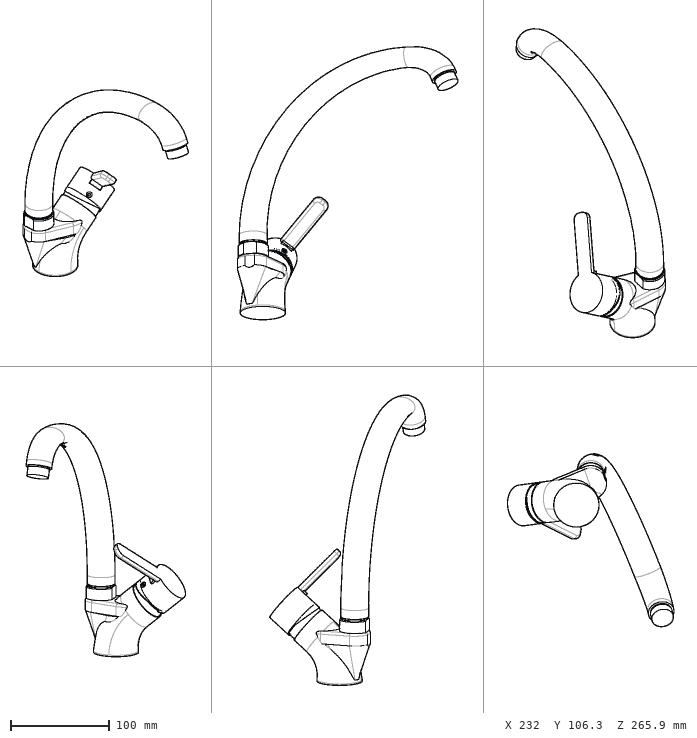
import cadquery as cq
import math

BASE_RADIUS = 23.0
BASE_HEIGHT = 1.5
VALVE_RADIUS = 21.0
ELBOW_BEND_RADIUS = 56.5
VALVE_TILT = 50.0
SLEEVE_LENGTH = 17.3
ELBOW_SECTIONS = 6

SPOUT_X = -5.5
SPOUT_Y = -17.8
NOSE_RADIUS = 16.2
NOSE_FLAT_REACH = 15.5
NOSE_TOP_Z = 54.5
NOSE_RIM_FILLET = 2.7
NOSE_WALL_Z = 41.7
NOSE_REAR_RADIUS = 20.7
NOSE_REAR_Y = 13.3
NOSE_TAPER_REAR_Y = 5.3
NOSE_TIP_Z = 4.3
NOSE_TIP_RADIUS = 8.5
NOSE_TIP_Y = -13.8
NOSE_TIP_REAR_RADIUS = 22.3
NOSE_TIP_REAR_Y = 0.0

CAP_TOP = 51.3
CAP_MOUTH = 20.5
CAP_MOUTH_RISE = 5.0
CAP_TAB_RISE = 3.7
CAP_RISE_END = -2.7
CAP_TAB_START = -16.0
CUT_MARGIN = 2.7
LEVER_TURN = 45.0
LEVER_LENGTH = 83.5
LEVER_WIDTH = 17.0
LEVER_THICKNESS = 6.6
LEVER_CORNER_RADIUS = 6.6
LEVER_EDGE_FILLET = 3.0
BOSS_REACH = 1.3
BOSS_WIDTH = 13.3
BOSS_DEPTH = 11.2

CARTRIDGE_RADIUS = 20.0
CARTRIDGE_TOP = 26.5

SCREW_RADIUS = 3.0
SCREW_HEIGHT = 30.3
SCREW_SEAT = 13.3
SCREW_HEAD = 20.2
SOCKET_SIZE = 3.0
SOCKET_DEPTH = 2.0

COLLAR_RADIUS = 15.5
COLLAR_FLAT_REACH = 13.8
COLLAR_HEIGHT = 12.8
COLLAR_CHAMFER = 1.0
SEAL_HEIGHT = 1.5
SEAL_RADIUS = 13.5

SPOUT_RADIUS = 14.4
SPOUT_RISE_START_Z = 78.2
SPOUT_CREST_X = 155.8
SPOUT_TOP_Z = 265.8
CREST_HALF_HEIGHT = 10.0
CREST_HALF_WIDTH = 14.4
DROP_RUN = 38.5
DROP_FALL = 26.0
DROP_SWEEP = 73.5
SPOUT_END_RADIUS = 13.3
SPOUT_END_LENGTH = 5.3
RISE_SECTIONS = 9
DROP_SECTIONS = 5

OUTLET_SEAL_RADIUS = 11.2
OUTLET_SEAL_LENGTH = 1.3
AERATOR_RADIUS = 11.2
AERATOR_LENGTH = 8.5

tilt = math.radians(VALVE_TILT)
VALVE_AXIS = cq.Vector(0, math.sin(tilt), math.cos(tilt))
VALVE_ACROSS = cq.Vector(0, -math.cos(tilt), math.sin(tilt))
turn = math.radians(LEVER_TURN)
LEVER_AXIS = cq.Vector(math.cos(turn), 0, 0) + VALVE_ACROSS * math.sin(turn)
COLLAR_TOP_Z = NOSE_TOP_Z + COLLAR_HEIGHT
SPOUT_BASE_Z = COLLAR_TOP_Z + SEAL_HEIGHT


def elbow_point(angle):
    """Point on the elbow centreline after bending by angle (radians)."""
    return cq.Vector(
        0,
        ELBOW_BEND_RADIUS * (1 - math.cos(angle)),
        BASE_HEIGHT + ELBOW_BEND_RADIUS * math.sin(angle),
    )


ELBOW_END = elbow_point(tilt)


def valve_plane(height):
    """Plane square to the valve axis, with local x along the lever."""
    return cq.Plane(ELBOW_END + VALVE_AXIS * height, LEVER_AXIS, VALVE_AXIS)


def elbow():
    """Bend whose radius shrinks quickly at first, then eases into the sleeve."""
    sections = []
    for i in range(ELBOW_SECTIONS):
        fraction = i / (ELBOW_SECTIONS - 1)
        angle = tilt * fraction
        radius = VALVE_RADIUS + (BASE_RADIUS - VALVE_RADIUS) * (1 - fraction) ** 2
        direction = cq.Vector(0, math.sin(angle), math.cos(angle))
        sections.append(cq.Wire.makeCircle(radius, elbow_point(angle), direction))
    bend = cq.Workplane(cq.Solid.makeLoft(sections))
    base = cq.Workplane().circle(BASE_RADIUS).extrude(BASE_HEIGHT)
    sleeve = cq.Workplane(valve_plane(0)).circle(VALVE_RADIUS).extrude(SLEEVE_LENGTH)
    return base.union(bend).union(sleeve)


def nose_outline(z, front_radius, front_y, rear_radius, rear_y):
    """Two arcs, around a front and a rear centre, joined by their outer tangents."""
    rear = cq.Vector(0, rear_y)
    front = cq.Vector(SPOUT_X, front_y)
    forward = front - rear
    heading = math.atan2(forward.y, forward.x)
    spread = math.acos((rear_radius - front_radius) / forward.Length)

    def on_circle(centre, radius, angle):
        return (centre.x + radius * math.cos(angle), centre.y + radius * math.sin(angle))

    return (
        cq.Workplane(origin=(0, 0, z))
        .moveTo(*on_circle(front, front_radius, heading - spread))
        .threePointArc(
            on_circle(front, front_radius, heading),
            on_circle(front, front_radius, heading + spread),
        )
        .lineTo(*on_circle(rear, rear_radius, heading + spread))
        .threePointArc(
            on_circle(rear, rear_radius, heading + math.pi),
            on_circle(rear, rear_radius, heading - spread),
        )
        .close()
    )


def nose():
    """Upright wall under the spout, above a taper that runs down into the elbow."""
    wall_sizes = (NOSE_RADIUS, SPOUT_Y, NOSE_REAR_RADIUS, NOSE_REAR_Y)
    taper_sizes = (NOSE_RADIUS, SPOUT_Y, NOSE_REAR_RADIUS, NOSE_TAPER_REAR_Y)
    tip_sizes = (NOSE_TIP_RADIUS, NOSE_TIP_Y, NOSE_TIP_REAR_RADIUS, NOSE_TIP_REAR_Y)
    front_limit = SPOUT_Y - NOSE_FLAT_REACH
    flat_cut = (
        cq.Workplane(origin=(SPOUT_X, front_limit - NOSE_RADIUS / 2, 0))
        .rect(2 * NOSE_RADIUS, NOSE_RADIUS)
        .extrude(NOSE_TOP_Z)
    )
    wall = (
        nose_outline(NOSE_WALL_Z, *wall_sizes)
        .extrude(NOSE_TOP_Z - NOSE_WALL_Z)
        .cut(flat_cut)
        .faces(">Z")
        .edges()
        .fillet(NOSE_RIM_FILLET)
    )
    taper = cq.Workplane(
        cq.Solid.makeLoft(
            [
                nose_outline(NOSE_TIP_Z, *tip_sizes).wire().val(),
                nose_outline(NOSE_WALL_Z, *taper_sizes).wire().val(),
            ],
            True,
        )
    )
    return wall.union(taper.cut(flat_cut))


def make_body():
    return elbow().union(nose())


def rim_cut():
    """Everything below the shaped rim of the cap, as a prism along X."""
    profile_plane = cq.Plane(ELBOW_END, VALVE_ACROSS, VALVE_ACROSS.cross(VALVE_AXIS))
    outside = VALVE_RADIUS + CUT_MARGIN
    return (
        cq.Workplane(profile_plane)
        .moveTo(outside, 0)
        .lineTo(outside, CAP_MOUTH)
        .lineTo(VALVE_RADIUS, CAP_MOUTH)
        .lineTo(CAP_RISE_END, CAP_MOUTH + CAP_MOUTH_RISE)
        .lineTo(CAP_TAB_START, CAP_MOUTH + CAP_MOUTH_RISE)
        .lineTo(CAP_TAB_START, CAP_MOUTH + CAP_TAB_RISE)
        .lineTo(-outside, CAP_MOUTH + CAP_TAB_RISE)
        .lineTo(-outside, 0)
        .close()
        .extrude(outside, both=True)
    )


def lever():
    underside = valve_plane(CAP_TOP - LEVER_THICKNESS)
    bar = (
        cq.Workplane(underside)
        .rect(2 * LEVER_LENGTH, LEVER_WIDTH)
        .extrude(LEVER_THICKNESS)
        .edges(cq.selectors.ParallelDirSelector(VALVE_AXIS))
        .fillet(LEVER_CORNER_RADIUS)
        .faces(cq.selectors.DirectionMinMaxSelector(VALVE_AXIS, False))
        .edges()
        .fillet(LEVER_EDGE_FILLET)
    )
    root_half = cq.Workplane(underside).center(LEVER_LENGTH / 2, 0)
    return bar.intersect(root_half.rect(LEVER_LENGTH, LEVER_WIDTH).extrude(LEVER_THICKNESS))


def lever_boss():
    reach = VALVE_RADIUS + BOSS_REACH
    return (
        cq.Workplane(valve_plane(CAP_TOP - BOSS_DEPTH))
        .center(reach / 2, 0)
        .rect(reach, BOSS_WIDTH)
        .extrude(BOSS_DEPTH)
    )


def make_cartridge():
    height = CARTRIDGE_TOP - SLEEVE_LENGTH
    return cq.Workplane(valve_plane(SLEEVE_LENGTH)).circle(CARTRIDGE_RADIUS).extrude(height)


def make_cap(cartridge, screw_hole):
    barrel = cq.Workplane(valve_plane(SLEEVE_LENGTH)).circle(VALVE_RADIUS).extrude(CAP_TOP - SLEEVE_LENGTH)
    return barrel.cut(rim_cut()).union(lever()).union(lever_boss()).cut(cartridge).cut(screw_hole)


def screw_plane(distance):
    """Plane square to the lever direction, at a distance from the valve axis."""
    centre = ELBOW_END + VALVE_AXIS * SCREW_HEIGHT + LEVER_AXIS * distance
    return cq.Plane(centre, VALVE_AXIS, LEVER_AXIS)


def make_screw_hole():
    return cq.Workplane(screw_plane(SCREW_SEAT)).circle(SCREW_RADIUS).extrude(VALVE_RADIUS - SCREW_SEAT)


def make_set_screw():
    shank = cq.Workplane(screw_plane(SCREW_SEAT)).circle(SCREW_RADIUS).extrude(SCREW_HEAD - SCREW_SEAT)
    socket = cq.Workplane(screw_plane(SCREW_HEAD)).polygon(6, SOCKET_SIZE).extrude(-SOCKET_DEPTH)
    return shank.cut(socket)


def spout_disc(z, radius, height):
    return cq.Workplane(origin=(SPOUT_X, SPOUT_Y, z)).circle(radius).extrude(height)


def make_collar():
    """Ring with two wrench flats, facing -Y and +Y."""
    flats = (
        cq.Workplane(origin=(SPOUT_X, SPOUT_Y, NOSE_TOP_Z))
        .rect(2 * COLLAR_RADIUS, 2 * COLLAR_FLAT_REACH)
        .extrude(COLLAR_HEIGHT)
    )
    ring = spout_disc(NOSE_TOP_Z, COLLAR_RADIUS, COLLAR_HEIGHT)
    return ring.faces(">Z").chamfer(COLLAR_CHAMFER).intersect(flats)


def make_spout_seal():
    return spout_disc(COLLAR_TOP_Z, SEAL_RADIUS, SEAL_HEIGHT)


CREST_Z = SPOUT_TOP_Z - CREST_HALF_HEIGHT
DROP_ANGLE = math.radians(DROP_SWEEP)


def spout_section(x, z, direction_x, direction_z, half_width, half_height):
    """Ellipse square to the spout, half_width along Y."""
    return cq.Wire.makeEllipse(
        half_width,
        half_height,
        cq.Vector(x, SPOUT_Y, z),
        cq.Vector(direction_x, 0, direction_z),
        cq.Vector(0, 1, 0),
    )


def blend(start, end, fraction):
    return start + (end - start) * fraction


def spout_rise():
    """Quarter ellipse from the upright foot to the level crest, flattening on the way."""
    run = SPOUT_CREST_X - SPOUT_X
    climb = CREST_Z - SPOUT_RISE_START_Z
    sections = []
    for i in range(RISE_SECTIONS):
        fraction = i / (RISE_SECTIONS - 1)
        angle = fraction * math.pi / 2
        sections.append(
            spout_section(
                SPOUT_CREST_X - run * math.cos(angle),
                SPOUT_RISE_START_Z + climb * math.sin(angle),
                run * math.sin(angle),
                climb * math.cos(angle),
                blend(SPOUT_RADIUS, CREST_HALF_WIDTH, fraction),
                blend(SPOUT_RADIUS, CREST_HALF_HEIGHT, fraction),
            )
        )
    return cq.Workplane(cq.Solid.makeLoft(sections))


def spout_drop():
    """Elliptical bend from the crest down to the round outlet end."""
    sections = []
    for i in range(DROP_SECTIONS):
        fraction = i / (DROP_SECTIONS - 1)
        angle = fraction * DROP_ANGLE
        sections.append(
            spout_section(
                SPOUT_CREST_X + DROP_RUN * math.sin(angle),
                CREST_Z - DROP_FALL * (1 - math.cos(angle)),
                DROP_RUN * math.cos(angle),
                -DROP_FALL * math.sin(angle),
                blend(CREST_HALF_WIDTH, SPOUT_END_RADIUS, fraction),
                blend(CREST_HALF_HEIGHT, SPOUT_END_RADIUS, fraction),
            )
        )
    return cq.Workplane(cq.Solid.makeLoft(sections))


OUTLET_AXIS = cq.Vector(
    DROP_RUN * math.cos(DROP_ANGLE), 0, -DROP_FALL * math.sin(DROP_ANGLE)
).normalized()
DROP_END = cq.Vector(
    SPOUT_CREST_X + DROP_RUN * math.sin(DROP_ANGLE),
    SPOUT_Y,
    CREST_Z - DROP_FALL * (1 - math.cos(DROP_ANGLE)),
)


def outlet_plane(distance):
    """Plane square to the outlet, at a distance past the end of the drop, with local y along Y."""
    across = cq.Vector(0, 1, 0).cross(OUTLET_AXIS)
    return cq.Plane(DROP_END + OUTLET_AXIS * distance, across, OUTLET_AXIS)


def make_spout():
    foot = spout_disc(SPOUT_BASE_Z, SPOUT_RADIUS, SPOUT_RISE_START_Z - SPOUT_BASE_Z)
    end = cq.Workplane(outlet_plane(0)).circle(SPOUT_END_RADIUS).extrude(SPOUT_END_LENGTH)
    return foot.union(spout_rise()).union(spout_drop()).union(end)


def make_outlet_seal():
    return (
        cq.Workplane(outlet_plane(SPOUT_END_LENGTH))
        .circle(OUTLET_SEAL_RADIUS)
        .extrude(OUTLET_SEAL_LENGTH)
    )


def make_aerator():
    start = outlet_plane(SPOUT_END_LENGTH + OUTLET_SEAL_LENGTH)
    return cq.Workplane(start).circle(AERATOR_RADIUS).extrude(AERATOR_LENGTH)


body = make_body()
cartridge = make_cartridge()
cap = make_cap(cartridge, make_screw_hole())
set_screw = make_set_screw()
collar = make_collar()
spout_seal = make_spout_seal()
spout = make_spout()
outlet_seal = make_outlet_seal()
aerator = make_aerator()

result = cq.Compound.makeCompound(
    [
        body.val(),
        cartridge.val(),
        cap.val(),
        set_screw.val(),
        collar.val(),
        spout_seal.val(),
        spout.val(),
        outlet_seal.val(),
        aerator.val(),
    ]
)